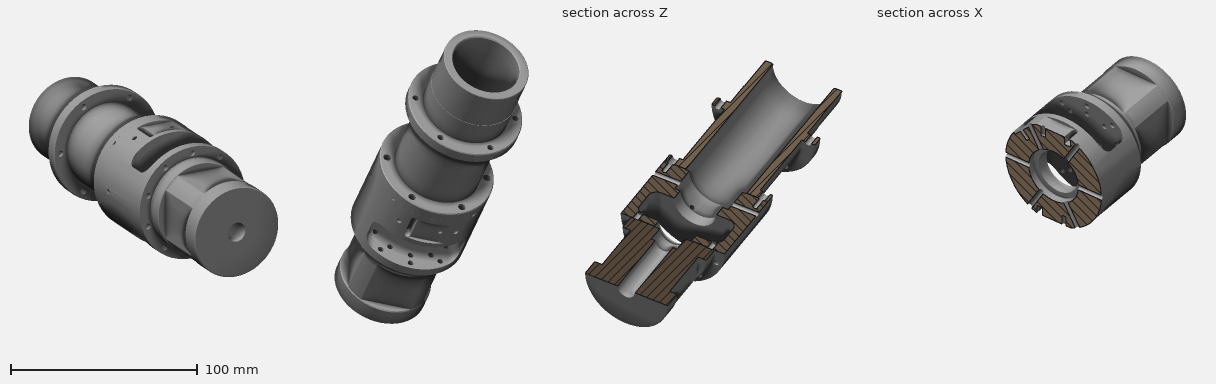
import cadquery as cq
import math

TIP_END = 22.6
MOUNT_FLANGE_START = 37.5
MOUNT_FLANGE_END = 44.0
HOUSING_START = 94.5
JOINT_FLANGE_START = HOUSING_START - 5.9
WINDOW_START = 117.0
WINDOW_END = 136.0
HOUSING_END = 141.2
COLLAR_END = 150.3
FLATS_END = 180.6
OVERALL_LENGTH = 191.2

BODY_RADIUS = 32.0
TUBE_RADIUS = 24.0
TIP_RADIUS = 23.8
COLLAR_RADIUS = 25.9
NECK_RADIUS = 25.2
END_RADIUS = 25.6

TUBE_BORE_RADIUS = 18.7
HOUSING_COUNTERBORE_RADIUS = 16.4
HOUSING_COUNTERBORE_END = 110.0
HOUSING_BORE_RADIUS = 13.0
END_WALL_BORE_RADIUS = 11.3
ADAPTER_COUNTERBORE_RADIUS = 7.8
ADAPTER_BORE_RADIUS = 5.4

EDGE_CHAMFER = 0.5
TIP_CHAMFER = 0.3
MOUTH_CHAMFER = 0.6

FLANGE_SCREW_COUNT = 6
FLANGE_SCREW_CIRCLE = 28.0
MOUNT_HOLE_RADIUS = 1.75
JOINT_HOLE_RADIUS = 2.1
TAPPED_HOLE_RADIUS = 1.25
TAPPED_HOLE_DEPTH = 7.0
DRILL_POINT_ANGLE = 118.0

ACROSS_FLATS = 42.0

WINDOW_WIDTH = 52.0
WINDOW_CORNER_RADIUS = 5.0

WALL_HOLE_RADIUS = 1.6
INNER_WALL_CIRCLE = 23.0
INNER_WALL_COUNT = 12
OUTER_WALL_CIRCLE = 28.4
OUTER_WALL_COUNT = 10

SCREW_STATION = 105.5
RADIAL_HOLE_COUNT = 6
RADIAL_HOLE_RADIUS = 1.5

NOTCH_COUNT = 4
NOTCH_RADIUS = 1.4
NOTCH_DEPTH = 4.0

FLAT_HEIGHT = 30.0
FLAT_SCREW_RADIUS = 1.2
FLAT_SCREW_DEPTH = 6.0

PAD_START = 98.1
PAD_LENGTH = 15.6
PAD_SCREW_Y = 6.9
SLOT_NEAR_Y = -7.4
SLOT_FAR_Y = -11.0
SLOT_DEPTH = 5.0
SLOT_CORNER_RADIUS = 1.7

RECESS_ANGLE = 45.0
RECESS_WIDTH = 12.2
RECESS_END = 114.9


def cylinder(start, end, radius):
    """A cylinder about the X axis."""
    return cq.Workplane("YZ").workplane(offset=start).circle(radius).extrude(end - start)


def axial_holes(start, end, circle, count, radius, first_angle=0):
    """Holes parallel to X, spread evenly on a circle; angle 0 lies towards +Y."""
    plane = cq.Workplane("YZ").workplane(offset=start)
    return plane.polarArray(circle, first_angle, 360, count).circle(radius).extrude(end - start)


def block(start, end, near_y, far_y, bottom, top):
    """A box given by its limits along X, Y and Z."""
    size = (end - start, abs(far_y - near_y), top - bottom)
    centre = ((start + end) / 2, (near_y + far_y) / 2, (bottom + top) / 2)
    return cq.Workplane("XY").box(*size).translate(centre)


def vertical_hole(x, y, bottom, radius):
    """A hole along Z from the given height out past the housing skin."""
    plane = cq.Workplane("XY").workplane(offset=bottom)
    return plane.center(x, y).circle(radius).extrude(BODY_RADIUS)


def turned(shape, angle):
    """The shape turned about the X axis; a positive angle leads from +Y to +Z."""
    return shape.rotate((0, 0, 0), (1, 0, 0), angle)


def make_tube():
    """Tube with a reduced tip, a mounting flange and the flange that joins the housing."""
    tip = cylinder(0, TIP_END, TIP_RADIUS).faces("<X").chamfer(TIP_CHAMFER)
    barrel = cylinder(TIP_END, HOUSING_START, TUBE_RADIUS)
    mount_flange = cylinder(MOUNT_FLANGE_START, MOUNT_FLANGE_END, BODY_RADIUS)
    mount_flange = mount_flange.edges().chamfer(EDGE_CHAMFER)
    joint_flange = cylinder(JOINT_FLANGE_START, HOUSING_START, BODY_RADIUS)
    joint_flange = joint_flange.faces("<X").chamfer(EDGE_CHAMFER)

    bore = cylinder(0, HOUSING_START, TUBE_BORE_RADIUS)
    mount_holes = axial_holes(
        MOUNT_FLANGE_START, MOUNT_FLANGE_END, FLANGE_SCREW_CIRCLE, FLANGE_SCREW_COUNT, MOUNT_HOLE_RADIUS
    )
    joint_holes = axial_holes(
        JOINT_FLANGE_START, HOUSING_START, FLANGE_SCREW_CIRCLE, FLANGE_SCREW_COUNT, JOINT_HOLE_RADIUS
    )
    tube = tip.union(barrel).union(mount_flange).union(joint_flange)
    tube = tube.cut(bore)
    tube = tube.faces("<X").edges(cq.selectors.RadiusNthSelector(0)).chamfer(MOUTH_CHAMFER)
    return tube.cut(mount_holes).cut(joint_holes)


def tapped_holes():
    """Blind holes in the housing's joint face, each ending in a drill point."""
    point_length = TAPPED_HOLE_RADIUS / math.tan(math.radians(DRILL_POINT_ANGLE / 2))
    shank_end = HOUSING_START + TAPPED_HOLE_DEPTH
    profile = [
        (HOUSING_START, 0),
        (HOUSING_START, TAPPED_HOLE_RADIUS),
        (shank_end, TAPPED_HOLE_RADIUS),
        (shank_end + point_length, 0),
    ]
    drill = cq.Workplane("XY").polyline(profile).close().revolve(360, (0, 0, 0), (1, 0, 0))
    drill = drill.translate((0, FLANGE_SCREW_CIRCLE, 0))
    pitch = 360 / FLANGE_SCREW_COUNT
    return [turned(drill, i * pitch) for i in range(FLANGE_SCREW_COUNT)]


def radial_holes():
    """Screw holes through the housing skin into its bore, the first towards +Y."""
    hole = turned(vertical_hole(SCREW_STATION, 0, 0, RADIAL_HOLE_RADIUS), -90)
    pitch = 360 / RADIAL_HOLE_COUNT
    return [turned(hole, i * pitch) for i in range(RADIAL_HOLE_COUNT)]


def joint_notches():
    """Small half-round notches on the outer edge of the housing's joint face."""
    notch = vertical_hole(HOUSING_START, 0, BODY_RADIUS - NOTCH_DEPTH, NOTCH_RADIUS)
    pitch = 360 / NOTCH_COUNT
    return [turned(notch, (i + 0.5) * pitch) for i in range(NOTCH_COUNT)]


def window():
    """Access opening with rounded corners."""
    opening = block(
        WINDOW_START, WINDOW_END, -WINDOW_WIDTH / 2, WINDOW_WIDTH / 2, -BODY_RADIUS, BODY_RADIUS
    )
    return opening.edges("|Z").fillet(WINDOW_CORNER_RADIUS)


def slotted_flat():
    """Cut for the top flat, its cross slot and its screw hole."""
    pad_end = PAD_START + PAD_LENGTH
    flat = block(PAD_START, pad_end, -BODY_RADIUS, BODY_RADIUS, FLAT_HEIGHT, BODY_RADIUS)
    slot = block(PAD_START, pad_end, SLOT_NEAR_Y, SLOT_FAR_Y, FLAT_HEIGHT - SLOT_DEPTH, BODY_RADIUS)
    slot = slot.edges("|Z").fillet(SLOT_CORNER_RADIUS)
    screw = vertical_hole(SCREW_STATION, PAD_SCREW_Y, FLAT_HEIGHT - FLAT_SCREW_DEPTH, FLAT_SCREW_RADIUS)
    return flat.union(slot).union(screw)


def slanted_recess():
    """Cut for the slanted flat, open at the joint face, and its screw hole."""
    half_width = RECESS_WIDTH / 2
    flat = block(HOUSING_START, RECESS_END, -half_width, half_width, FLAT_HEIGHT, BODY_RADIUS)
    screw = vertical_hole(SCREW_STATION, 0, FLAT_HEIGHT - FLAT_SCREW_DEPTH, FLAT_SCREW_RADIUS)
    return turned(flat.union(screw), -RECESS_ANGLE)


def make_housing():
    """Windowed housing between the tube and the adapter."""
    cuts = [
        cylinder(HOUSING_START, HOUSING_COUNTERBORE_END, HOUSING_COUNTERBORE_RADIUS),
        cylinder(HOUSING_COUNTERBORE_END, WINDOW_END, HOUSING_BORE_RADIUS),
        cylinder(WINDOW_END, HOUSING_END, END_WALL_BORE_RADIUS),
        window(),
        axial_holes(WINDOW_END, HOUSING_END, INNER_WALL_CIRCLE, INNER_WALL_COUNT, WALL_HOLE_RADIUS, 90),
        axial_holes(WINDOW_END, HOUSING_END, OUTER_WALL_CIRCLE, OUTER_WALL_COUNT, WALL_HOLE_RADIUS, 90),
        *tapped_holes(),
        *radial_holes(),
        *joint_notches(),
        slotted_flat(),
        turned(slotted_flat(), 180),
        slanted_recess(),
    ]
    housing = cylinder(HOUSING_START, HOUSING_END, BODY_RADIUS)
    for cut in cuts:
        housing = housing.cut(cut)
    return housing


def make_adapter():
    """End adapter: a collar on the housing, a neck with four wrench flats and an end rim."""
    collar = cylinder(HOUSING_END, COLLAR_END, COLLAR_RADIUS).edges().chamfer(EDGE_CHAMFER)
    neck = cylinder(COLLAR_END, FLATS_END, NECK_RADIUS)
    half_flats = ACROSS_FLATS / 2
    square = block(COLLAR_END, FLATS_END, -half_flats, half_flats, -half_flats, half_flats)
    rim = cylinder(FLATS_END, OVERALL_LENGTH, END_RADIUS).edges().chamfer(EDGE_CHAMFER)
    adapter = collar.union(neck.intersect(square)).union(rim)
    adapter = adapter.cut(cylinder(HOUSING_END, COLLAR_END, ADAPTER_COUNTERBORE_RADIUS))
    return adapter.cut(cylinder(COLLAR_END, OVERALL_LENGTH, ADAPTER_BORE_RADIUS))


tube = make_tube()
housing = make_housing()
adapter = make_adapter()

result = cq.Compound.makeCompound([tube.val(), housing.val(), adapter.val()])